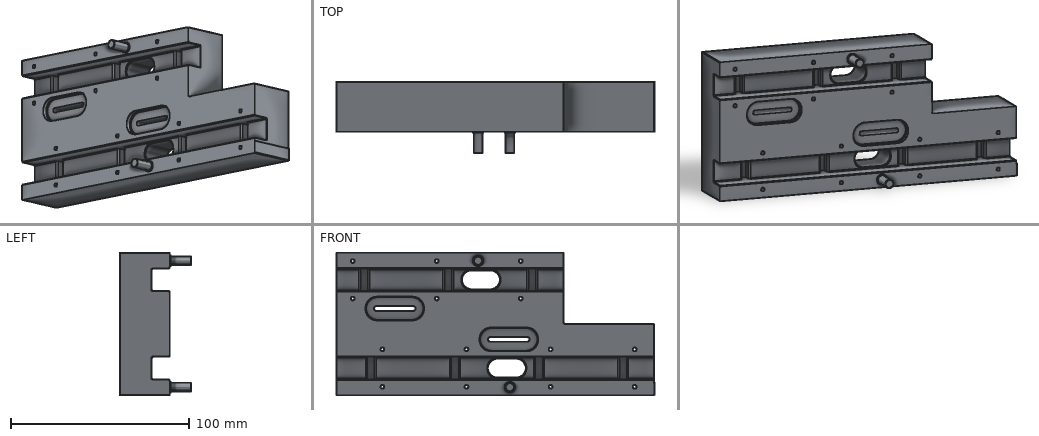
import cadquery as cq

length = 178.0
height = 80.0
thickness = 28.0
front_y = -thickness
upper_length = 127.3
step_height = 40.0
step_corner_radius = 1.0
end_chamfer = 0.3

strip_thickness = 0.31
strip_bottom = 0.4
strip_top = 7.0

groove_width = 12.5
groove_depth = 10.0
groove_offset = 24.75
groove_chamfer = 0.5
floor_y = front_y + groove_depth
upper_groove_z = height / 2 + groove_offset
lower_groove_z = height / 2 - groove_offset

pitch = 47.1
hole_diameter = 2.0
hole_from_groove = 10.5
upper_holes_x = [9.15 + i * pitch for i in range(3)]
lower_holes_x = [25.8 + i * pitch for i in range(4)]
channel_width = 4.0
channel_depth = 5.0
channel_chamfer = 1.0
channel_from_hole = 6.45

window_length = 21.2
window_width = 10.4
window_chamfer = 0.5
upper_window_x = 81.0
lower_window_x = 95.5

slot_length = 23.2
slot_width = 2.6
pocket_length = 33.0
pocket_width = 13.5
pocket_depth = 3.0
pocket_chamfer = 0.5
slot_offset = 8.65
left_slot_x = 32.7
right_slot_x = 96.6

pin_diameter = 5.0
pin_length = 12.0
pin_chamfer = 0.25
collar_diameter = 6.0
collar_height = 0.5
pin_offset = 35.4
upper_pin_x = 79.4
lower_pin_x = 97.2

reach = 0.01


def front_plane(x, y, z):
    """Work plane at depth y whose normal points into the plate (+Y)."""
    return cq.Workplane(cq.Plane(origin=(x, y, z), xDir=(1, 0, 0), normal=(0, 1, 0)))


def slab(x_start, x_end, z_start, z_end):
    """Block as thick as the plate."""
    block = cq.Workplane("XY").box(x_end - x_start, thickness, z_end - z_start, centered=False)
    return block.translate((x_start, front_y, z_start))


def plate():
    """L-shaped plate with a rounded inner corner at the step."""
    body = slab(0, length, 0, step_height).union(slab(0, upper_length, 0, height))
    inner_corner = cq.selectors.BoxSelector(
        (upper_length - reach, front_y, step_height - reach),
        (upper_length + reach, 0, step_height + reach),
    )
    return body.edges(inner_corner).fillet(step_corner_radius)


def groove(z):
    """Groove cutter: flared at the mouth and narrowed by chamfers along the floor."""
    wall = groove_width / 2
    mouth = wall + groove_chamfer
    floor = wall - groove_chamfer
    mouth_chamfer_y = front_y + groove_chamfer
    floor_chamfer_y = floor_y - groove_chamfer
    return (
        cq.Workplane("YZ", origin=(0, 0, z))
        .moveTo(front_y, -mouth)
        .lineTo(mouth_chamfer_y, -wall)
        .lineTo(floor_chamfer_y, -wall)
        .lineTo(floor_y, -floor)
        .lineTo(floor_y, floor)
        .lineTo(floor_chamfer_y, wall)
        .lineTo(mouth_chamfer_y, wall)
        .lineTo(front_y, mouth)
        .close()
        .extrude(length)
    )


def chamfer_end(body, x, bottom_z):
    """Chamfer an end face along its top, bottom and groove outline, not along its front and back."""
    end_edges = cq.selectors.BoxSelector(
        (x - reach, front_y + reach, bottom_z),
        (x + reach, -reach, height + reach),
    )
    return body.edges(end_edges).chamfer(end_chamfer)


def channel(x, z):
    """Cross channel cutter in a groove floor, from wall to wall, with chamfered top edges."""
    wall = channel_width / 2
    mouth = wall + channel_chamfer
    bottom_y = floor_y + channel_depth
    return (
        cq.Workplane("XY", origin=(x, 0, z - groove_width / 2))
        .moveTo(-mouth, floor_y - groove_chamfer)
        .lineTo(-mouth, floor_y)
        .lineTo(-wall, floor_y + channel_chamfer)
        .lineTo(-wall, bottom_y)
        .lineTo(wall, bottom_y)
        .lineTo(wall, floor_y + channel_chamfer)
        .lineTo(mouth, floor_y)
        .lineTo(mouth, floor_y - groove_chamfer)
        .close()
        .extrude(groove_width)
    )


def screw_hole(x, z):
    return front_plane(x, front_y, z).circle(hole_diameter / 2).extrude(thickness)


def window(x, z):
    """Oblong cutter from a groove floor to the back face, chamfered at the groove floor."""
    mouth_length = window_length + 2 * window_chamfer
    mouth_width = window_width + 2 * window_chamfer
    opening = front_plane(x, floor_y, z).slot2D(window_length, window_width).extrude(-floor_y)
    flare = front_plane(x, floor_y, z).slot2D(mouth_length, mouth_width).extrude(window_chamfer, taper=45)
    return opening.union(flare)


def pocketed_slot(x, z):
    """Blind pocket cutter with a chamfered floor edge, and the narrow slot through its floor."""
    pocket = front_plane(x, front_y, z).slot2D(pocket_length, pocket_width).extrude(pocket_depth)
    pocket = pocket.faces(">Y").chamfer(pocket_chamfer)
    slot = front_plane(x, front_y, z).slot2D(slot_length, slot_width).extrude(thickness)
    return pocket.union(slot)


def pin(x, z):
    """Dowel pin with a chamfered tip and a low collar at its foot."""
    shaft = front_plane(x, front_y - pin_length, z).circle(pin_diameter / 2).extrude(pin_length)
    shaft = shaft.faces("<Y").chamfer(pin_chamfer)
    collar = front_plane(x, front_y - collar_height, z).circle(collar_diameter / 2).extrude(collar_height)
    return shaft.union(collar)


result = plate().cut(groove(upper_groove_z)).cut(groove(lower_groove_z))
result = chamfer_end(result, 0, -reach)
result = chamfer_end(result, length, -reach)
result = chamfer_end(result, upper_length, step_height + step_corner_radius + reach)
result = result.union(slab(length, length + strip_thickness, strip_bottom, strip_top))

groove_rows = [
    (upper_groove_z, upper_holes_x, channel_from_hole, upper_window_x),
    (lower_groove_z, lower_holes_x, -channel_from_hole, lower_window_x),
]
for groove_z, holes_x, channel_shift, window_x in groove_rows:
    for hole_x in holes_x:
        result = result.cut(channel(hole_x + channel_shift, groove_z))
        result = result.cut(screw_hole(hole_x, groove_z - hole_from_groove))
        result = result.cut(screw_hole(hole_x, groove_z + hole_from_groove))
    result = result.cut(window(window_x, groove_z))

result = result.cut(pocketed_slot(left_slot_x, height / 2 + slot_offset))
result = result.cut(pocketed_slot(right_slot_x, height / 2 - slot_offset))

result = result.union(pin(upper_pin_x, height / 2 + pin_offset))
result = result.union(pin(lower_pin_x, height / 2 - pin_offset))